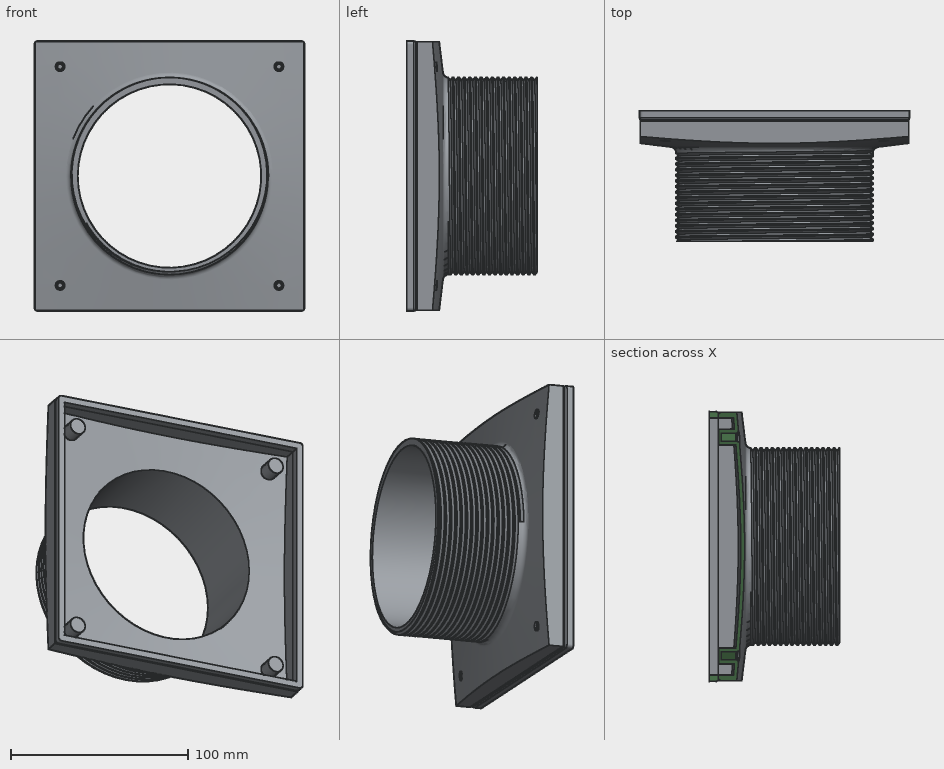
import cadquery as cq
import math


cover_side = 152.4
cover_depth = 5.2
cover_corner_radius = 2.0
cover_bevel_depth = 1.2
cover_bevel_inset = 0.5
cavity_side = 144.8

flange_side = 151.5
flange_rear_chamfer = 0.9
cone_angle = math.radians(7.0)
cone_mid_edge_depth = 18.5
front_wall = 2.5
boss_radius = 4.5

overall_depth = 73.8
bore_radius = 51.7
thread_major_radius = 55.6
root_fillet = 3.0

thread_minor_radius = 54.0
thread_start_depth = 23.8
thread_end_margin = 0.8
thread_turns = 16
groove_half_width = 1.2
cutter_overlap = 0.5
cutter_extra_turns = 0.6
thread_cut_tolerance = 0.001

screw_offset = 61.7
counterbore_radius = 2.6
screw_radius = 2.1
screw_recess = 0.9
screw_length = 9.1
socket_radius = 1.5
socket_depth = 0.9


def cone_depth(radius):
    """Depth of the conical front face at a distance from the tube axis."""
    return cone_mid_edge_depth + (flange_side / 2 - radius) * math.tan(cone_angle)


pitch = (overall_depth + thread_end_margin - thread_start_depth) / thread_turns
blank_radius = flange_side
screw_head_depth = cone_depth(math.hypot(screw_offset, screw_offset)) - screw_recess
screw_tip_depth = screw_head_depth - screw_length
screw_points = [(side_x * screw_offset, side_z * screw_offset) for side_x in (-1, 1) for side_z in (-1, 1)]


def plane_at(depth):
    """Workplane facing -Y at a depth, with local axes along X and Z."""
    return cq.Workplane("XZ", origin=(0, -depth, 0))


def profile_point(radius, depth):
    """Point of a turned profile, drawn on the -X side of the axis."""
    return (-radius, -depth)


def turn(profile):
    """Revolve a closed profile about the tube axis."""
    return profile.close().revolve(360, (0, 0), (0, 1))


def make_cover():
    frame = plane_at(0).rect(cover_side, cover_side).extrude(cover_depth)
    frame = frame.edges("|Y").fillet(cover_corner_radius)
    frame = frame.faces("<Y").chamfer(cover_bevel_depth, cover_bevel_inset)
    return frame.cut(plane_at(0).rect(cavity_side, cavity_side).extrude(cover_depth))


def make_blank():
    """Turned tube and cone, joined by the root fillet and bored through."""
    center_radius = thread_major_radius + root_fillet
    center_depth = cone_depth(center_radius) + root_fillet / math.cos(cone_angle)

    def fillet_point(angle):
        """Point on the fillet; the angle is 0 at the tube and grows towards the cone."""
        radius = center_radius - root_fillet * math.cos(angle)
        depth = center_depth - root_fillet * math.sin(angle)
        return profile_point(radius, depth)

    fillet_angle = math.pi / 2 - cone_angle
    profile = (
        cq.Workplane("XY")
        .moveTo(*profile_point(bore_radius, cover_depth))
        .lineTo(*profile_point(blank_radius, cover_depth))
        .lineTo(*profile_point(blank_radius, cone_depth(blank_radius)))
        .lineTo(*fillet_point(fillet_angle))
        .threePointArc(fillet_point(fillet_angle / 2), fillet_point(0))
        .lineTo(*profile_point(thread_major_radius, overall_depth))
        .lineTo(*profile_point(bore_radius, overall_depth))
    )
    return turn(profile)


def make_thread_cutter():
    """V-shaped ridge wound along a helix that starts at +X and advances towards -Y."""
    path = cq.Wire.makeHelix(pitch, (thread_turns + cutter_extra_turns) * pitch, thread_minor_radius)
    mouth_radius = thread_major_radius + cutter_overlap
    flank_slope = groove_half_width / (thread_major_radius - thread_minor_radius)
    mouth_half_width = flank_slope * (mouth_radius - thread_minor_radius)
    ridge = (
        cq.Workplane("XZ")
        .moveTo(thread_minor_radius, 0)
        .lineTo(mouth_radius, mouth_half_width)
        .lineTo(mouth_radius, -mouth_half_width)
        .close()
        .sweep(cq.Workplane(obj=path), isFrenet=True)
    )
    return ridge.rotate((0, 0, 0), (1, 0, 0), 90).translate((0, -thread_start_depth, 0))


def make_square_block():
    """Square outline of the flange, chamfered around its rear edge."""
    block = plane_at(cover_depth).rect(flange_side, flange_side).extrude(overall_depth - cover_depth)
    return block.faces(">Y").edges().chamfer(flange_rear_chamfer)


def make_cavity():
    """Hollow behind the front wall, leaving a boss around each screw."""
    profile = (
        cq.Workplane("XY")
        .moveTo(*profile_point(0, cover_depth))
        .lineTo(*profile_point(blank_radius, cover_depth))
        .lineTo(*profile_point(blank_radius, cone_depth(blank_radius) - front_wall))
        .lineTo(*profile_point(bore_radius, cone_depth(bore_radius) - front_wall))
        .lineTo(*profile_point(0, cone_depth(bore_radius) - front_wall))
    )
    opening = plane_at(cover_depth).rect(cavity_side, cavity_side).extrude(overall_depth)
    bosses = plane_at(cover_depth).pushPoints(screw_points).circle(boss_radius).extrude(overall_depth)
    return turn(profile).intersect(opening).cut(bosses)


def make_flange():
    flange = make_blank().cut(make_thread_cutter(), tol=thread_cut_tolerance)
    flange = flange.intersect(make_square_block()).cut(make_cavity())
    holes = plane_at(screw_tip_depth).pushPoints(screw_points).circle(screw_radius).extrude(screw_length)
    counterbores = plane_at(screw_head_depth).pushPoints(screw_points)
    return flange.cut(holes).cut(counterbores.circle(counterbore_radius).extrude(overall_depth))


def make_screw(x, z):
    screw = plane_at(screw_tip_depth).center(x, z).circle(screw_radius).extrude(screw_length)
    socket = plane_at(screw_head_depth - socket_depth).center(x, z).circle(socket_radius).extrude(socket_depth)
    return screw.cut(socket)


cover = make_cover()
flange = make_flange()
screws = [make_screw(x, z) for x, z in screw_points]

result = cq.Compound.makeCompound([cover.val(), flange.val(), *[screw.val() for screw in screws]])